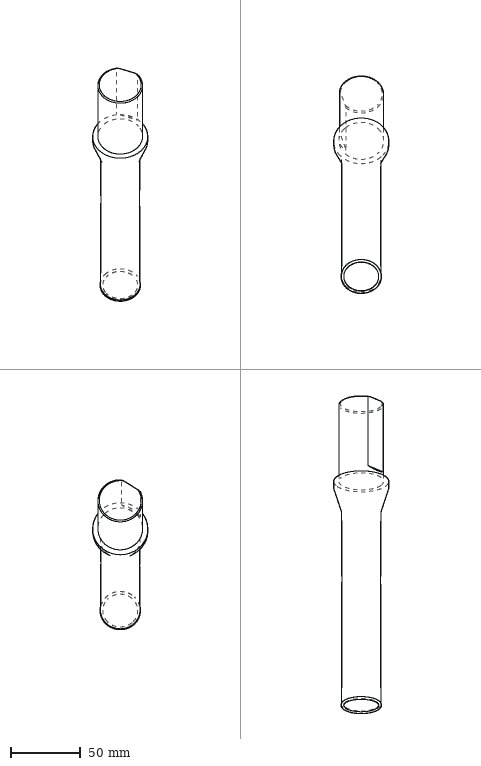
import cadquery as cq
import math

total_length = 234.0

shank_diameter = 32.0
shank_length = 60.0
shank_chamfer_width = 1.0
shank_chamfer_height = 0.8
flat_offset = 13.8
flat_ramp_bottom = 3.8

flange_diameter = 39.5
flange_thickness = 5.0
flare_height = 20.0
flare_corner_height = 1.6
collar_diameter = 28.27
collar_height = 5.0

stem_diameter = 27.98
stem_taper_length = 55.0
stem_cone_height = 3.5

head_diameter = collar_diameter
head_top = 14.5
ring_diameter = 29.0
ring_section_radius = 1.0

shank_radius = shank_diameter / 2
flange_radius = flange_diameter / 2
collar_radius = collar_diameter / 2
stem_radius = stem_diameter / 2
head_radius = head_diameter / 2
ring_center_radius = ring_diameter / 2 - ring_section_radius

flange_top = total_length - shank_length
flange_bottom = flange_top - flange_thickness
collar_top = flange_bottom - flare_height
collar_bottom = collar_top - collar_height
taper_bottom = collar_bottom - stem_taper_length
stem_bottom = head_top + stem_cone_height
head_bottom = ring_section_radius

flare_corner = collar_top + flare_corner_height
flare_angle = math.atan2(flange_radius - collar_radius, flange_bottom - flare_corner)
arc_start_radius = collar_radius + flare_corner_height * math.sin(flare_angle)
arc_start_height = flare_corner + flare_corner_height * math.cos(flare_angle)


def make_flat_cutter():
    """Material removed on the +Y side of the shank, ending in a 45 degree ramp."""
    ramp_bottom = flange_top + flat_ramp_bottom
    ramp_top = ramp_bottom + shank_radius - flat_offset
    return (
        cq.Workplane("YZ")
        .moveTo(flat_offset, total_length)
        .lineTo(flat_offset, ramp_top)
        .lineTo(shank_radius, ramp_bottom)
        .lineTo(shank_radius, total_length)
        .close()
        .extrude(shank_radius, both=True)
    )


def make_cutting_ring():
    """Ring of round section that stands out slightly around and below the head."""
    return (
        cq.Workplane("XZ")
        .center(ring_center_radius, ring_section_radius)
        .circle(ring_section_radius)
        .revolve(360, (-ring_center_radius, 0), (-ring_center_radius, 1))
    )


def make_holder():
    """Shank, flange, flare, stem and head in one body, with the shank flat and the ring's seat cut."""
    turned = (
        cq.Workplane("XZ")
        .moveTo(0, head_bottom)
        .lineTo(head_radius, head_bottom)
        .lineTo(head_radius, head_top)
        .lineTo(stem_radius, stem_bottom)
        .lineTo(stem_radius, taper_bottom)
        .lineTo(collar_radius, collar_bottom)
        .lineTo(collar_radius, collar_top)
        .tangentArcPoint((arc_start_radius, arc_start_height), relative=False)
        .lineTo(flange_radius, flange_bottom)
        .lineTo(flange_radius, flange_top)
        .lineTo(shank_radius, flange_top)
        .lineTo(shank_radius, total_length - shank_chamfer_height)
        .lineTo(shank_radius - shank_chamfer_width, total_length)
        .lineTo(0, total_length)
        .close()
        .revolve(360, (0, 0), (0, 1))
    )
    return turned.cut(make_flat_cutter()).cut(make_cutting_ring())


holder = make_holder()
cutting_ring = make_cutting_ring()
result = cq.Compound.makeCompound([holder.val(), cutting_ring.val()])